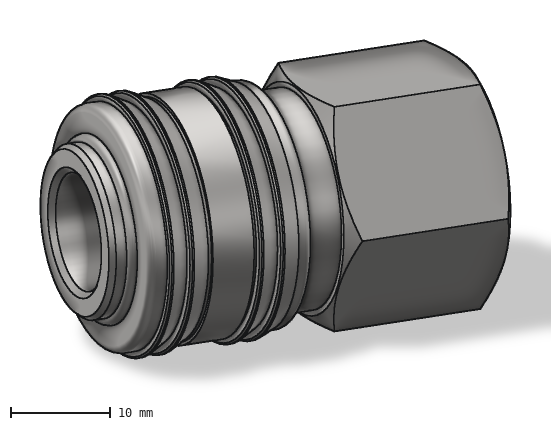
import cadquery as cq
import math

overall_length = 42.5

hex_across_flats = 24.0
hex_length = 18.27
hex_face_radius = 11.87
hex_chamfer_angle = 30.0
hex_front = overall_length - hex_length
hex_corner_radius = hex_across_flats / 2 / math.cos(math.pi / 6)

neck_radius = 11.3

sleeve_front = 2.55
sleeve_rear = 20.5
sleeve_radius = 12.67
sleeve_fillet = 0.8

rib_radius = 13.4
rib_tip_width = 0.2
rib_tip_chamfer = 0.2
rib_root_radius = 12.45
rib_fronts = (4.55, 6.8, 14.4, 16.72)
rib_rears = (6.8, 9.15, 16.72, 18.95)
rib_rear_radii = (rib_root_radius, rib_root_radius, rib_root_radius, sleeve_radius)

band_radius = 12.8
band_front = 9.5
band_rear = 14.0

nose_radius = 8.95
collar_radius = 9.75
collar_fillet = collar_radius - nose_radius
collar_front = sleeve_front - collar_fillet
nose_chamfer_length = 0.6
nose_chamfer_depth = 0.45

bore_radius = 6.05
bore_depth = sleeve_rear
bore_chamfer = 0.6
passage_radius = 3.5


def revolve_profile(profile):
    """Turn a closed (radius, y) outline about the Y axis."""
    return profile.close().revolve(360, (0, 0, 0), (0, 1, 0))


def cylinder(radius, front, rear):
    """Cylinder on the Y axis between two stations."""
    outline = cq.Workplane("XY").lineTo(radius, 0).lineTo(radius, rear - front).lineTo(0, rear - front)
    return revolve_profile(outline).translate((0, front, 0))


def make_hexagon():
    """Hexagonal prism with corners on the X axis and both ends turned to a cone."""
    prism = (
        cq.Workplane("XZ", origin=(0, overall_length, 0))
        .polygon(6, 2 * hex_corner_radius)
        .extrude(hex_length)
    )
    chamfer_length = (hex_corner_radius - hex_face_radius) * math.tan(math.radians(hex_chamfer_angle))
    turning_envelope = revolve_profile(
        cq.Workplane("XY")
        .moveTo(0, hex_front)
        .lineTo(hex_face_radius, hex_front)
        .lineTo(hex_corner_radius, hex_front + chamfer_length)
        .lineTo(hex_corner_radius, overall_length - chamfer_length)
        .lineTo(hex_face_radius, overall_length)
        .lineTo(0, overall_length)
    )
    return prism.intersect(turning_envelope)


def make_sleeve():
    """Sleeve with rounded ends, a plain band, and a relief at rib root depth under the ribs."""
    sleeve = cylinder(sleeve_radius, sleeve_front, sleeve_rear).edges("%CIRCLE").fillet(sleeve_fillet)
    rib_zone_front = rib_fronts[0]
    rib_zone_rear = rib_fronts[-1]
    ring = cylinder(rib_radius, rib_zone_front, rib_zone_rear)
    ring = ring.cut(cylinder(rib_root_radius, rib_zone_front, rib_zone_rear))
    return sleeve.cut(ring).union(cylinder(band_radius, band_front, band_rear))


def make_rib(front, rear, rear_radius):
    """One saw-tooth rib with a narrow tip and a broken front edge."""
    return revolve_profile(
        cq.Workplane("XY")
        .moveTo(0, front)
        .lineTo(rib_radius - rib_tip_chamfer, front)
        .lineTo(rib_radius, front + rib_tip_chamfer)
        .lineTo(rib_radius, front + rib_tip_chamfer + rib_tip_width)
        .lineTo(rear_radius, rear)
        .lineTo(0, rear)
    )


def make_collar():
    """Low collar rounded from the nose out to the sleeve front."""
    return cylinder(collar_radius, collar_front, sleeve_rear).faces("<Y").edges().fillet(collar_fillet)


def make_nose():
    """Front nose with a chamfered rim."""
    return revolve_profile(
        cq.Workplane("XY")
        .lineTo(nose_radius - nose_chamfer_depth, 0)
        .lineTo(nose_radius, nose_chamfer_length)
        .lineTo(nose_radius, sleeve_rear)
        .lineTo(0, sleeve_rear)
    )


def make_bore():
    """Stepped bore: lead-in chamfer, plug bore and through passage."""
    return revolve_profile(
        cq.Workplane("XY")
        .lineTo(bore_radius + bore_chamfer, 0)
        .lineTo(bore_radius, bore_chamfer)
        .lineTo(bore_radius, bore_depth)
        .lineTo(passage_radius, bore_depth)
        .lineTo(passage_radius, overall_length)
        .lineTo(0, overall_length)
    )


body = make_hexagon().union(cylinder(neck_radius, sleeve_front, hex_front))
body = body.union(make_sleeve())
for rib_front, rib_rear, rib_rear_radius in zip(rib_fronts, rib_rears, rib_rear_radii):
    body = body.union(make_rib(rib_front, rib_rear, rib_rear_radius))
body = body.union(make_collar()).union(make_nose())

result = body.cut(make_bore())